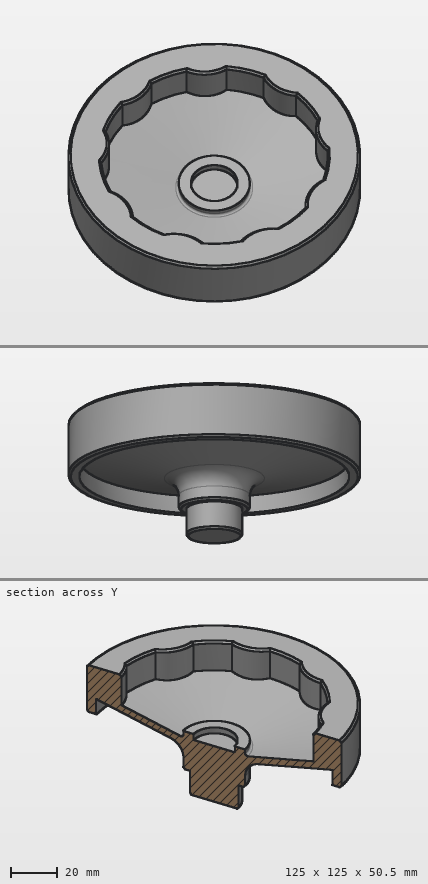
import cadquery as cq
import math

rim_radius = 62.5
rim_height = 24.0
edge_chamfer = 1.0

grip_count = 9
pocket_radius = 48.5
grip_inner_radius = 45.4
grip_arc_radius = 17.0
mouth_angle = 45.0

web_slope_angle = 13.0
web_thickness = 3.9
web_depth_at_wall = 14.6
underside_recess_radius = 115.6 / 2

hub_radius = 30.5 / 2
boss_radius = hub_radius
boss_depth = 19.0
boss_foot_fillet = 1.0
bore_radius = 20.0 / 2
bore_depth = 3.0
hub_bottom = -14.5
hub_fillet = 8.0
pin_radius = 24.0 / 2
total_height = 50.5
pin_chamfer_width = 0.8

web_angle = math.radians(web_slope_angle)
web_slope = math.tan(web_angle)
pin_bottom = rim_height - total_height
boss_top = rim_height - boss_depth


def web_top(radius):
    """Height of the web's upper cone at a given radius."""
    return rim_height - web_depth_at_wall - (pocket_radius - radius) * web_slope


def web_bottom(radius):
    """Height of the web's lower cone, parallel to the upper one."""
    return web_top(radius) - web_thickness


def make_body():
    """Turned blank: rim, conical underside recess, flared hub and pin."""
    flare_center_r = hub_radius + hub_fillet
    flare_center_z = web_bottom(flare_center_r) - hub_fillet / math.cos(web_angle)
    flare_end_r = flare_center_r - hub_fillet * math.sin(web_angle)
    flare_mid_angle = (math.pi + math.pi / 2 + web_angle) / 2
    flare_mid = (
        flare_center_r + hub_fillet * math.cos(flare_mid_angle),
        flare_center_z + hub_fillet * math.sin(flare_mid_angle),
    )
    profile = (
        cq.Workplane("XZ")
        .moveTo(0, pin_bottom)
        .lineTo(pin_radius - pin_chamfer_width, pin_bottom)
        .lineTo(pin_radius, pin_bottom + edge_chamfer)
        .lineTo(pin_radius, hub_bottom)
        .lineTo(hub_radius - edge_chamfer, hub_bottom)
        .lineTo(hub_radius, hub_bottom + edge_chamfer)
        .lineTo(hub_radius, flare_center_z)
        .threePointArc(flare_mid, (flare_end_r, web_bottom(flare_end_r)))
        .lineTo(underside_recess_radius, web_bottom(underside_recess_radius))
        .lineTo(underside_recess_radius, 0)
        .lineTo(rim_radius - edge_chamfer, 0)
        .lineTo(rim_radius, edge_chamfer)
        .lineTo(rim_radius, rim_height - edge_chamfer)
        .lineTo(rim_radius - edge_chamfer, rim_height)
        .lineTo(0, rim_height)
        .close()
    )
    return profile.revolve(360, (0, 0, 0), (0, 1, 0))


def polar(radius, angle):
    """Point at a radius and an angle around the wheel's axis."""
    return (radius * math.cos(angle), radius * math.sin(angle))


def grip_outline(offset, height):
    """Pocket outline widened by an offset: large arcs joined by inward finger-grip arcs."""
    outer = pocket_radius + offset
    inner = grip_inner_radius + offset
    center = grip_inner_radius + grip_arc_radius
    arc = grip_arc_radius - offset
    half_grip = math.acos((outer**2 + center**2 - arc**2) / (2 * outer * center))
    pitch = 2 * math.pi / grip_count
    outline = cq.Workplane("XY").workplane(offset=height).moveTo(*polar(outer, -half_grip))
    for i in range(grip_count):
        angle = i * pitch
        outline = outline.threePointArc(polar(inner, angle), polar(outer, angle + half_grip))
        outline = outline.threePointArc(
            polar(outer, angle + pitch / 2), polar(outer, angle + pitch - half_grip)
        )
    return outline.close()


def make_pocket():
    """Scalloped pocket with a chamfered mouth, a conical floor and the boss left standing."""
    walls = grip_outline(0, pin_bottom).extrude(total_height)
    foot_center_r = boss_radius + boss_foot_fillet
    foot_center_z = web_top(foot_center_r) + boss_foot_fillet / math.cos(web_angle)
    foot_end_r = foot_center_r + boss_foot_fillet * math.sin(web_angle)
    foot_mid_angle = (math.pi + 3 * math.pi / 2 + web_angle) / 2
    foot_mid = (
        foot_center_r + boss_foot_fillet * math.cos(foot_mid_angle),
        foot_center_z + boss_foot_fillet * math.sin(foot_mid_angle),
    )
    floor_cone = (
        cq.Workplane("XZ")
        .moveTo(0, boss_top)
        .lineTo(boss_radius, boss_top)
        .lineTo(boss_radius, foot_center_z)
        .threePointArc(foot_mid, (foot_end_r, web_top(foot_end_r)))
        .lineTo(rim_radius, web_top(rim_radius))
        .lineTo(rim_radius, rim_height)
        .lineTo(0, rim_height)
        .close()
        .revolve(360, (0, 0, 0), (0, 1, 0))
    )
    mouth = grip_outline(edge_chamfer, rim_height).extrude(-edge_chamfer, taper=mouth_angle)
    return walls.intersect(floor_cone).union(mouth)


def make_bore():
    """Shallow round recess in the top of the boss."""
    return cq.Workplane("XY").workplane(offset=boss_top - bore_depth).circle(bore_radius).extrude(bore_depth)


result = make_body().cut(make_pocket()).cut(make_bore())